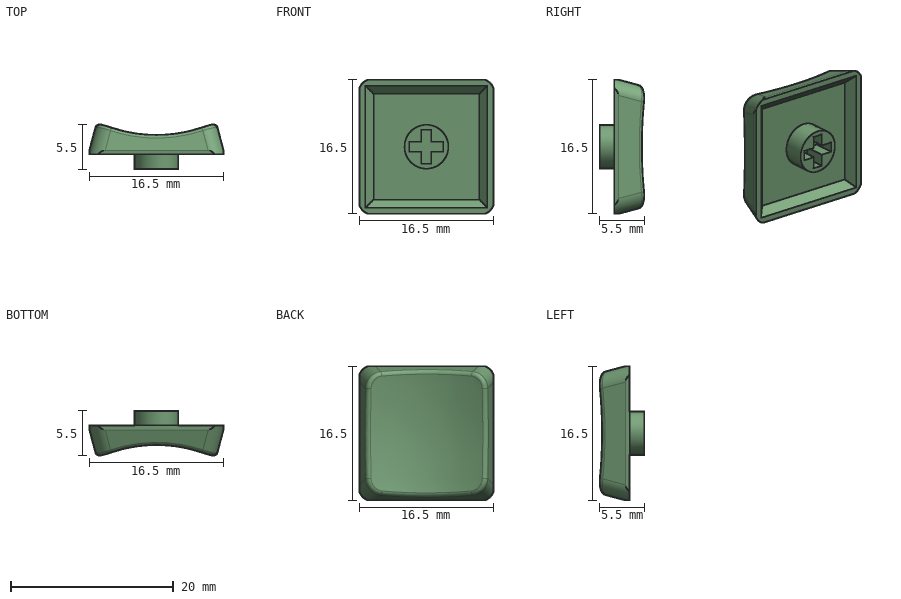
import cadquery as cq
import math

cap_width = 16.5
draft_angle = 15.0
rim_band_height = 0.53
blank_height = 4.95
corner_radius = 2.0
dish_edge_radius = 0.5

dish_floor = 1.9
dish_radius_x = 16.83
dish_radius_z = 52.8
dish_half_span = 10.72

pocket_opening = 14.98
pocket_depth = 1.0
pocket_wall_angle = 45.0

stem_diameter = 5.4
stem_length = 1.8
cross_length = 4.19
cross_width = 1.24


def plane_at(height):
    """Sketch plane parallel to the rim, facing +Y, with local x along Z and local y along X."""
    return cq.Plane(origin=(0, height, 0), xDir=(0, 0, 1), normal=(0, 1, 0))


def make_blank():
    """Sloped block with rounded corners, slightly wider than the cap at its base."""
    base_width = cap_width + 2 * rim_band_height * math.tan(math.radians(draft_angle))
    block = cq.Workplane(plane_at(0)).rect(base_width, base_width)
    block = block.extrude(blank_height, taper=draft_angle)
    sloped_edges = block.edges("not(#Y)")
    return sloped_edges.fillet(corner_radius)


def make_rim_trim():
    """Straight square envelope that leaves the upright band at the rim."""
    return cq.Workplane(plane_at(0)).rect(cap_width, cap_width).extrude(blank_height)


def make_dish():
    """Doubly curved cutter: an arc in X turned about a distant axis parallel to X."""
    arc_rise = dish_radius_x - math.sqrt(dish_radius_x**2 - dish_half_span**2)
    axis_height = dish_floor + dish_radius_z
    shoulder = dish_floor + arc_rise
    return (
        cq.Workplane("XY")
        .moveTo(-dish_half_span, axis_height)
        .lineTo(-dish_half_span, shoulder)
        .radiusArc((dish_half_span, shoulder), -dish_radius_x)
        .lineTo(dish_half_span, axis_height)
        .close()
        .revolve(360, (-dish_half_span, axis_height, 0), (dish_half_span, axis_height, 0))
    )


def make_pocket():
    """Square pocket narrowing toward its floor."""
    opening = cq.Workplane(plane_at(0)).rect(pocket_opening, pocket_opening)
    return opening.extrude(pocket_depth, taper=pocket_wall_angle)


def make_stem():
    """Round stem from its free end to the pocket floor, with the cross socket cut through it."""
    stem_height = stem_length + pocket_depth
    end_plane = plane_at(-stem_length)
    stem = cq.Workplane(end_plane).circle(stem_diameter / 2).extrude(stem_height)
    for size_z, size_x in ((cross_length, cross_width), (cross_width, cross_length)):
        stem = stem.cut(cq.Workplane(end_plane).rect(size_z, size_x).extrude(stem_height))
    return stem


cap = make_blank().cut(make_dish())
cap = cap.faces(">Y").edges().fillet(dish_edge_radius)
cap = cap.intersect(make_rim_trim())
result = cap.cut(make_pocket()).union(make_stem())